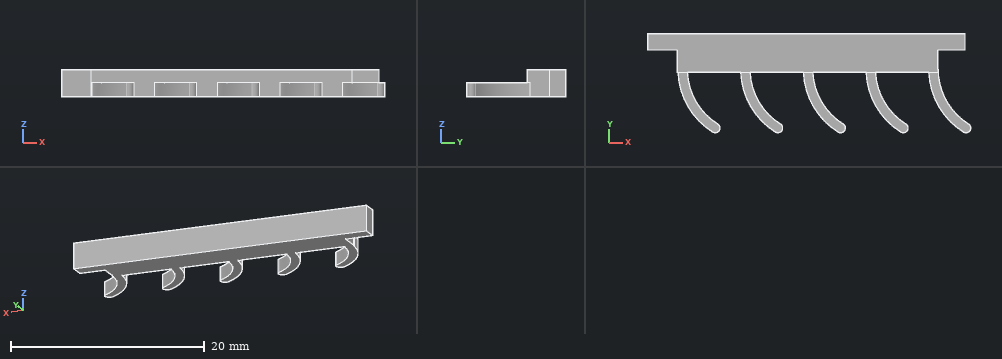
import cadquery as cq
import math

overall_length = 33.42
overall_depth = 10.25
height = 2.8

bar_length = 32.82
bar_depth = 1.7

block_start_x = 3.05
block_length = 26.97
block_depth = 4.0

finger_count = 5
finger_pitch = 6.5
finger_width = 1.0
finger_height = 1.47
finger_radius = 7.15
finger_sweep = math.radians(58)

tip_radius = finger_width / 2
finger_reach_x = finger_radius * (1 - math.cos(finger_sweep))
finger_reach_y = finger_radius * math.sin(finger_sweep)
last_finger_x = overall_length - tip_radius - finger_reach_x
first_finger_x = last_finger_x - (finger_count - 1) * finger_pitch
finger_root_y = -overall_depth + tip_radius + finger_reach_y


def back_box(start_x, length, depth):
    """Full-height box reaching forward from the back edge."""
    return cq.Workplane("XY").box(length, depth, height, centered=False).translate((start_x, -depth, 0))


def finger(root_x):
    """Curved finger with a flat root inside the block and a rounded tip."""
    center_x = root_x + finger_radius

    def arc_point(radius, angle):
        return (center_x - radius * math.cos(angle), finger_root_y - radius * math.sin(angle))

    outer_radius = finger_radius + tip_radius
    inner_radius = finger_radius - tip_radius
    tip_angle = finger_sweep + math.atan(tip_radius / finger_radius)
    tip_point = arc_point(math.hypot(finger_radius, tip_radius), tip_angle)
    return (
        cq.Workplane("XY")
        .moveTo(*arc_point(outer_radius, 0))
        .threePointArc(arc_point(outer_radius, finger_sweep / 2), arc_point(outer_radius, finger_sweep))
        .threePointArc(tip_point, arc_point(inner_radius, finger_sweep))
        .threePointArc(arc_point(inner_radius, finger_sweep / 2), arc_point(inner_radius, 0))
        .close()
        .extrude(finger_height)
    )


bar = back_box(0, bar_length, bar_depth)
block = back_box(block_start_x, block_length, block_depth)
result = bar.union(block)
for index in range(finger_count):
    result = result.union(finger(first_finger_x + index * finger_pitch))